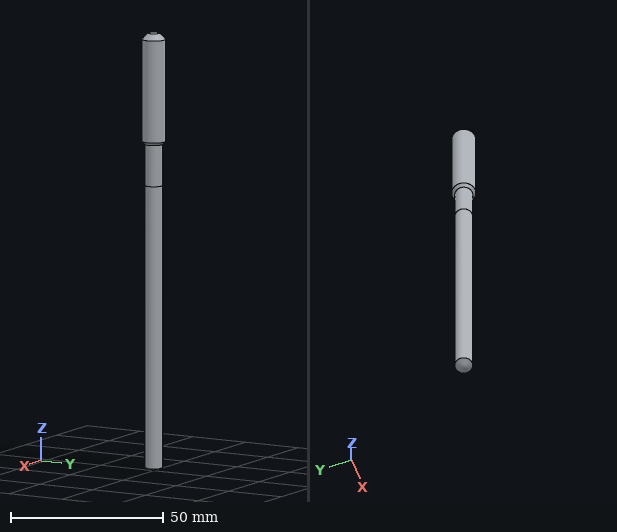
import cadquery as cq
import math

overall_length = 146.0
shank_diameter = 8.0
shank_length = 36.0
shank_chamfer = 2.0
drill_diameter = 6.0
point_angle = 140.0
cutting_length = 95.2
shoulder_angle = 45.0

shank_radius = shank_diameter / 2
drill_radius = drill_diameter / 2
point_height = drill_radius / math.tan(math.radians(point_angle / 2))
shank_bottom = overall_length - shank_length
shoulder_height = (shank_radius - drill_radius) * math.tan(math.radians(shoulder_angle))


def revolve_profile(points):
    """Revolve a closed (radius, height) profile about the Z axis."""
    return cq.Workplane("XZ").polyline(points).close().revolve(360, (0, 0), (0, 1))


def make_cutting_part():
    """Cylinder ending in a conical drill point."""
    return revolve_profile([
        (0, 0),
        (drill_radius, point_height),
        (drill_radius, cutting_length),
        (0, cutting_length),
    ])


def make_shank():
    """Neck, conical shoulder and chamfered shank above the cutting part."""
    return revolve_profile([
        (0, cutting_length),
        (drill_radius, cutting_length),
        (drill_radius, shank_bottom - shoulder_height),
        (shank_radius, shank_bottom),
        (shank_radius, overall_length - shank_chamfer),
        (shank_radius - shank_chamfer, overall_length),
        (0, overall_length),
    ])


cutting_part = make_cutting_part()
shank = make_shank()

result = cq.Compound.makeCompound([cutting_part.val(), shank.val()])